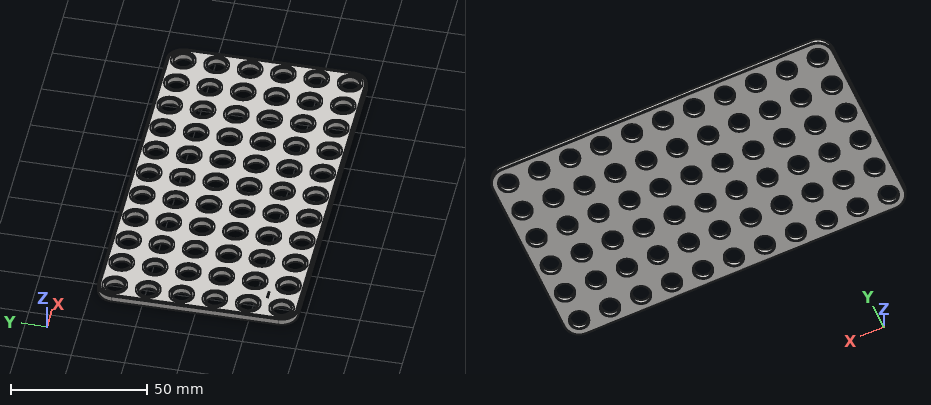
import cadquery as cq

pitch = 12.5
columns = 11
rows = 6
length = columns * pitch
width = rows * pitch
thickness = pitch / 4
corner_radius = pitch / 2

hole_diameter = 7.0
edge_chamfer = 0.3

recess_depth = 0.2
lip_diameter = 9.2
rim_width = 0.5
rim_inset = edge_chamfer + rim_width

bar_length = 2.8
bar_width = 0.4
bar_shift = 0.2
bar_x = pitch - length / 2 - bar_shift
bar_y = pitch - width / 2


def rounded_slab(inset, height):
    """Rounded rectangle resting on Z = 0, drawn in from the plate outline by the inset."""
    slab = cq.Workplane("XY").rect(length - 2 * inset, width - 2 * inset).extrude(height)
    return slab.edges("|Z").fillet(corner_radius - inset)


def at_every_hole():
    """Workplane on Z = 0 with a point at the centre of every grid cell."""
    return cq.Workplane("XY").rarray(pitch, pitch, columns, rows)


def make_plate():
    """Plain plate, chamfered around both faces."""
    return rounded_slab(0, thickness).faces("<Z or >Z").edges().chamfer(edge_chamfer)


def make_recess():
    """Volume sunk into the top face, clear of the rim, the hole lips and the bar."""
    lips = at_every_hole().circle(lip_diameter / 2).extrude(recess_depth)
    bar = cq.Workplane("XY").center(bar_x, bar_y).rect(bar_length, bar_width).extrude(recess_depth)
    recess = rounded_slab(rim_inset, recess_depth).cut(lips).cut(bar)
    return recess.translate((0, 0, thickness - recess_depth))


def make_holes():
    """Through holes, widened by a chamfer at both mouths."""
    hole_radius = hole_diameter / 2
    mouth_radius = hole_radius + edge_chamfer
    profile = (
        cq.Workplane("XZ")
        .lineTo(mouth_radius, 0)
        .lineTo(hole_radius, edge_chamfer)
        .lineTo(hole_radius, thickness - edge_chamfer)
        .lineTo(mouth_radius, thickness)
        .lineTo(0, thickness)
        .close()
    )
    cutter = profile.revolve(360, (0, 0, 0), (0, 1, 0)).val()
    return at_every_hole().eachpoint(lambda place: cutter.located(place))


result = make_plate().cut(make_recess()).cut(make_holes())